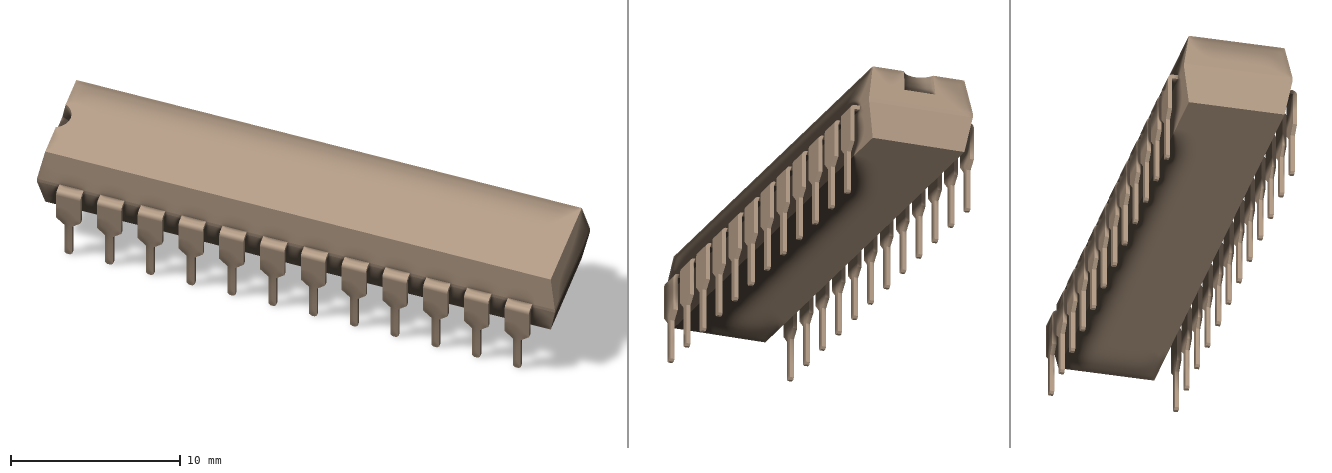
import cadquery as cq


body_length = 32.25
body_width = 6.6
body_inset = 0.4
body_top = 2.2
body_bottom = -2.4

notch_radius = 1.0
notch_depth = 1.3

leads_per_row = 12
row_length = 27.95
lead_pitch = row_length / (leads_per_row - 1)
lead_span = 7.87
lead_thickness = 0.25
bend_radius = 0.3
lead_drop = 5.4
shoulder_width = 1.52
pin_width = 0.5
neck_start = -2.32
neck_end = -2.8
tip_chamfer = 0.13


def frustum(from_z, to_z):
    """Half of the body, tapering from the rim size to the smaller end face."""
    return (
        cq.Workplane("XY").workplane(offset=from_z)
        .rect(body_length, body_width)
        .workplane(offset=to_z - from_z)
        .rect(body_length - 2 * body_inset, body_width - 2 * body_inset)
        .loft(ruled=True)
    )


def make_body():
    rim = cq.Workplane("XY").box(body_length, body_width, lead_thickness)
    rim = rim.translate((0, 0, -lead_thickness / 2))
    upper = frustum(0, body_top)
    lower = frustum(-lead_thickness, body_bottom)
    notch = (
        cq.Workplane("XY").workplane(offset=body_top - notch_depth)
        .center(-body_length / 2, 0)
        .circle(notch_radius)
        .extrude(notch_depth)
    )
    return rim.union(upper).union(lower).cut(notch)


def make_lead_pair():
    """Two opposite leads joined by a strip through the body, centred on X = 0."""
    outer_y = lead_span / 2
    inner_y = outer_y - lead_thickness
    strip = (
        cq.Workplane("YZ")
        .moveTo(-outer_y, -lead_drop)
        .lineTo(-outer_y, -bend_radius)
        .radiusArc((-outer_y + bend_radius, 0), bend_radius)
        .lineTo(outer_y - bend_radius, 0)
        .radiusArc((outer_y, -bend_radius), bend_radius)
        .lineTo(outer_y, -lead_drop)
        .lineTo(inner_y, -lead_drop)
        .lineTo(inner_y, -lead_thickness)
        .lineTo(-inner_y, -lead_thickness)
        .lineTo(-inner_y, -lead_drop)
        .close()
        .extrude(shoulder_width / 2, both=True)
    )
    half_shoulder = shoulder_width / 2
    half_pin = pin_width / 2
    half_tip = half_pin - tip_chamfer
    tip_z = -lead_drop
    outline = (
        cq.Workplane("XZ")
        .polyline([
            (-half_shoulder, 0),
            (half_shoulder, 0),
            (half_shoulder, neck_start),
            (half_pin, neck_end),
            (half_pin, tip_z + tip_chamfer),
            (half_tip, tip_z),
            (-half_tip, tip_z),
            (-half_pin, tip_z + tip_chamfer),
            (-half_pin, neck_end),
            (-half_shoulder, neck_start),
        ])
        .close()
        .extrude(lead_span, both=True)
    )
    return strip.intersect(outline)


result = make_body()
lead_pair = make_lead_pair()
for index in range(leads_per_row):
    lead_x = index * lead_pitch - row_length / 2
    result = result.union(lead_pair.translate((lead_x, 0, 0)))